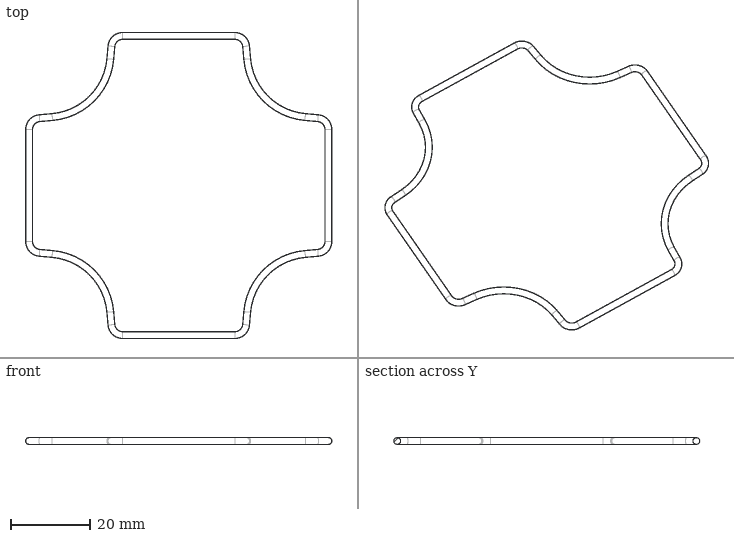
import cadquery as cq
import math

outer_size = 77.3
wire_diameter = 1.8
side_length = 28.3
corner_radius = 2.85
lead_length = 3.25
lead_tilt = 5.0

side_offset = (outer_size - wire_diameter) / 2
half_side = side_length / 2
tilt = math.radians(lead_tilt)


def offset_point(point, distance, angle):
    """Point at a distance from another, along a direction in radians from +X."""
    return (point[0] + distance * math.cos(angle), point[1] + distance * math.sin(angle))


def mirror_diagonal(point):
    """Mirror a point across the line X = Y."""
    return (point[1], point[0])


def rotate_quarters(point, quarters):
    """Turn a point clockwise about the origin by whole quarter turns."""
    x, y = point
    for _ in range(quarters):
        x, y = y, -x
    return (x, y)


bend_center = (half_side, side_offset - corner_radius)
side_end = (half_side, side_offset)
bend_middle = offset_point(bend_center, corner_radius, (math.pi / 2 + tilt) / 2)
bend_end = offset_point(bend_center, corner_radius, tilt)

scallop_start = offset_point(bend_end, lead_length, tilt - math.pi / 2)

scallop_radius = (scallop_start[1] - scallop_start[0]) / (math.cos(tilt) - math.sin(tilt))
scallop_center = offset_point(scallop_start, scallop_radius, tilt)
toward_origin = math.radians(225)
scallop_middle = offset_point(scallop_center, scallop_radius, toward_origin)


def add_quarter(path, quarters):
    """Add one straight side and the bends and scallop that lead to the next side."""

    def place(point):
        return rotate_quarters(point, quarters)

    return (
        path.lineTo(*place(side_end))
        .threePointArc(place(bend_middle), place(bend_end))
        .lineTo(*place(scallop_start))
        .threePointArc(place(scallop_middle), place(mirror_diagonal(scallop_start)))
        .lineTo(*place(mirror_diagonal(bend_end)))
        .threePointArc(place(mirror_diagonal(bend_middle)), place(mirror_diagonal(side_end)))
    )


centreline = cq.Workplane("XY").moveTo(-half_side, side_offset)
for quarter in range(4):
    centreline = add_quarter(centreline, quarter)
centreline = centreline.close()

section = cq.Workplane("YZ", origin=(-half_side, side_offset, 0)).circle(wire_diameter / 2)
result = section.sweep(centreline)